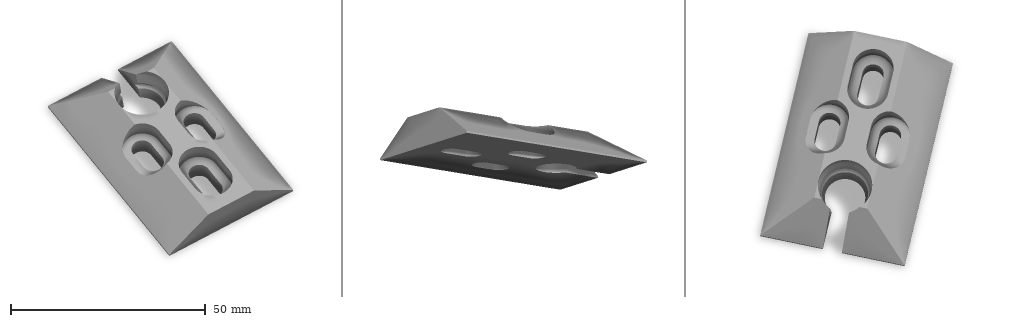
import cadquery as cq

LENGTH = 57.0
WIDTH = 38.0
HEIGHT = 9.0
BASE_THICKNESS = 0.5
END_SLOPE_RUN = 10.0
TOP_WIDTH = 14.0

BORE_X = 15.0
BORE_TOP_RADIUS = TOP_WIDTH / 2
BORE_BOTTOM_RADIUS = 5.2
TAPER_START_Z = 7.6
GROOVE_RADIUS = 7.3
GROOVE_BOTTOM_Z = 3.0
GROOVE_HEIGHT = 1.6
SLIT_WIDTH = 5.0

SLOT_FLOOR_Z = 4.7
SIDE_SLOT_X = 30.0
SIDE_SLOT_Y = 8.0
SIDE_SLOT_TRAVEL = 5.0
SIDE_SLOT_WIDTH = 5.6
SIDE_COUNTERBORE_WIDTH = 10.1
END_SLOT_X = 45.0
END_SLOT_TRAVEL = 6.0
END_SLOT_WIDTH = 5.5
END_COUNTERBORE_WIDTH = 10.6


def make_body():
    """Extrude the trapezoidal cross-section along X, then slope the -X end."""
    half_width = WIDTH / 2
    half_top = TOP_WIDTH / 2
    body = (
        cq.Workplane("YZ")
        .moveTo(-half_width, 0)
        .lineTo(half_width, 0)
        .lineTo(half_width, BASE_THICKNESS)
        .lineTo(half_top, HEIGHT)
        .lineTo(-half_top, HEIGHT)
        .lineTo(-half_width, BASE_THICKNESS)
        .close()
        .extrude(LENGTH)
    )
    end_wedge = (
        cq.Workplane("XZ")
        .moveTo(0, BASE_THICKNESS)
        .lineTo(END_SLOPE_RUN, HEIGHT)
        .lineTo(0, HEIGHT)
        .close()
        .extrude(half_width, both=True)
    )
    return body.cut(end_wedge)


def make_keyhole():
    """Cutter for the bore (straight mouth, taper, ring groove) and its slit."""
    bore = (
        cq.Workplane("XZ")
        .lineTo(BORE_BOTTOM_RADIUS, 0)
        .lineTo(BORE_TOP_RADIUS, TAPER_START_Z)
        .lineTo(BORE_TOP_RADIUS, HEIGHT)
        .lineTo(0, HEIGHT)
        .close()
        .revolve(360, (0, 0), (0, 1))
        .translate((BORE_X, 0, 0))
    )
    groove = (
        cq.Workplane("XY", origin=(BORE_X, 0, GROOVE_BOTTOM_Z))
        .circle(GROOVE_RADIUS)
        .extrude(GROOVE_HEIGHT)
    )
    slit = cq.Workplane("XY").box(BORE_X, SLIT_WIDTH, HEIGHT, centered=(False, True, False))
    return bore.union(groove).union(slit)


def make_slot(x, y, travel, slot_width, counterbore_width):
    """Cutter for a through slot with a wider, flat-floored slot above it."""
    through = (
        cq.Workplane("XY", origin=(x, y, 0))
        .slot2D(travel + slot_width, slot_width)
        .extrude(HEIGHT)
    )
    counterbore = (
        cq.Workplane("XY", origin=(x, y, SLOT_FLOOR_Z))
        .slot2D(travel + counterbore_width, counterbore_width)
        .extrude(HEIGHT - SLOT_FLOOR_Z)
    )
    return through.union(counterbore)


result = make_body().cut(make_keyhole())
for slot_y in (-SIDE_SLOT_Y, SIDE_SLOT_Y):
    result = result.cut(
        make_slot(SIDE_SLOT_X, slot_y, SIDE_SLOT_TRAVEL, SIDE_SLOT_WIDTH, SIDE_COUNTERBORE_WIDTH)
    )
result = result.cut(
    make_slot(END_SLOT_X, 0, END_SLOT_TRAVEL, END_SLOT_WIDTH, END_COUNTERBORE_WIDTH)
)